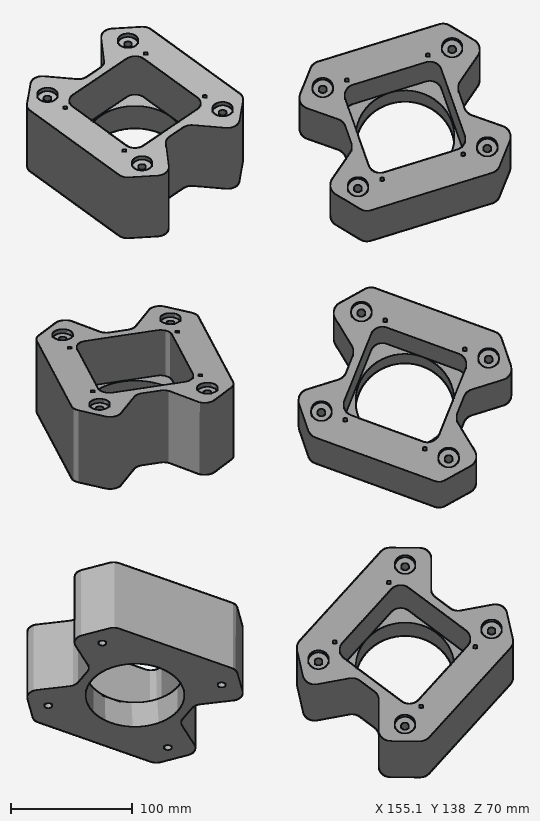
import cadquery as cq
import math

length = 155.1
width = 138.0
height = 70.0

edge_radius = 10.0
waist_width = 98.0
arm_tip_y = 39.0
arm_angle = math.radians(39)

pocket_length = 83.1
pocket_width = 81.1
pocket_depth = 44.0
pocket_corner_radius = 10.0
bore_diameter = pocket_width

mount_spacing_x = 112.0
mount_spacing_y = 92.0
mount_hole_diameter = 6.5
counterbore_diameter = 17.0
counterbore_depth = 4.0

pilot_spacing_x = 70.1
pilot_diameter = 3.3
pilot_depth = 10.0
pilot_point_angle = math.radians(118)


def make_body():
    """Extrude the four-armed outline and round all its upright edges."""
    rounding_loss = edge_radius * (math.sin(arm_angle) + math.cos(arm_angle) - 1)
    tip_x = length / 2 + rounding_loss
    waist_x = waist_width / 2
    waist_y = arm_tip_y - (tip_x - waist_x) * math.tan(arm_angle)
    shoulder_y = width / 2
    shoulder_x = tip_x - (shoulder_y - arm_tip_y) * math.tan(arm_angle)

    right_side = [
        (shoulder_x, -shoulder_y),
        (tip_x, -arm_tip_y),
        (waist_x, -waist_y),
        (waist_x, waist_y),
        (tip_x, arm_tip_y),
        (shoulder_x, shoulder_y),
    ]
    left_side = [(-x, -y) for x, y in right_side]
    outline = cq.Workplane("XY").polyline(right_side + left_side).close()
    return outline.extrude(height).edges("|Z").fillet(edge_radius)


def cut_opening(body):
    """Cut the pocket from the top face and the bore through its floor."""
    pocket = (
        cq.Workplane("XY", origin=(0, 0, height - pocket_depth))
        .rect(pocket_length, pocket_width)
        .extrude(pocket_depth)
        .edges("|Z")
        .fillet(pocket_corner_radius)
    )
    bore = cq.Workplane("XY").circle(bore_diameter / 2).extrude(height - pocket_depth)
    return body.cut(pocket).cut(bore)


def hole_centres(body, spacing_x):
    """Select four hole centres on the top face."""
    top_face = body.faces(">Z").workplane(origin=(0, 0, height))
    return top_face.rect(spacing_x, mount_spacing_y, forConstruction=True).vertices()


def drill_mounting_holes(body):
    """Drill the counterbored holes through the arms."""
    return hole_centres(body, mount_spacing_x).cboreHole(
        mount_hole_diameter, counterbore_diameter, counterbore_depth
    )


def drill_pilot_holes(body):
    """Drill the blind holes, each ending in a conical point."""
    radius = pilot_diameter / 2
    point_depth = radius / math.tan(pilot_point_angle / 2)
    profile = [
        (0, 0),
        (radius, 0),
        (radius, -pilot_depth),
        (0, -pilot_depth - point_depth),
    ]
    drill = cq.Workplane("XZ").polyline(profile).close().revolve(360, (0, 0), (0, 1)).val()
    return hole_centres(body, pilot_spacing_x).cutEach(lambda place: drill.moved(place))


result = drill_pilot_holes(drill_mounting_holes(cut_opening(make_body())))